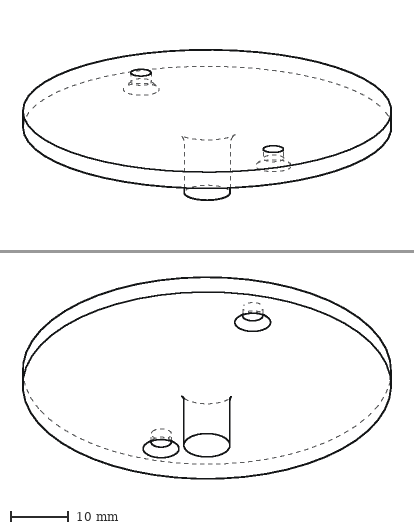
import cadquery as cq

plate_diameter = 63.8
plate_thickness = 3.0

total_height = 15.0
stem_diameter = 8.0
stem_length = total_height - plate_thickness
root_fillet = 3.0

hole_diameter = 3.5
hole_spacing = 45.95

countersink_depth = 1.35
countersink_diameter = hole_diameter + 2 * countersink_depth


def make_plate():
    """Disc with its underside on the XY plane."""
    return cq.Workplane("XY").circle(plate_diameter / 2).extrude(plate_thickness)


def add_stem(body):
    """Stem hanging from the underside, blended into the plate at its root."""
    stem = cq.Workplane("XY").circle(stem_diameter / 2).extrude(-stem_length)
    root_edge = cq.selectors.NearestToPointSelector((0, 0, 0))
    return body.union(stem).edges("%CIRCLE").edges(root_edge).fillet(root_fillet)


def make_hole_cutter():
    """Drill and countersink in one revolved profile, with its wide end on the XY plane."""
    hole_radius = hole_diameter / 2
    profile = [
        (0, 0),
        (countersink_diameter / 2, 0),
        (hole_radius, countersink_depth),
        (hole_radius, plate_thickness),
        (0, plate_thickness),
    ]
    cutter = cq.Workplane("XZ").polyline(profile).close()
    return cutter.revolve(360, (0, 0), (0, 1))


def cut_holes(body):
    """Two through holes, symmetric about the centre and countersunk from below."""
    cutter = make_hole_cutter()
    for side in (-1, 1):
        body = body.cut(cutter.translate((side * hole_spacing / 2, 0, 0)))
    return body


result = cut_holes(add_stem(make_plate()))